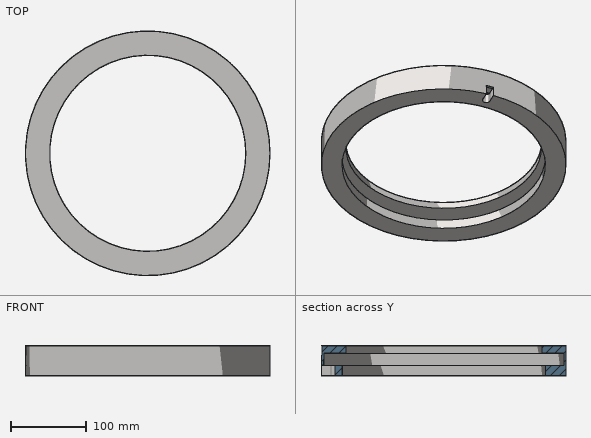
import cadquery as cq

outer_diameter = 325.0
height = 40.0

upper_bore_diameter = 260.0
lower_bore_diameter = 270.0
groove_diameter = 318.31
upper_lip_thickness = 10.0
lower_flange_thickness = 14.0

notch_width = 10.0
notch_height = lower_flange_thickness
notch_depth = 18.0


def make_ring():
    """Revolve the C-shaped cross-section about the Z axis."""
    outer_radius = outer_diameter / 2
    upper_radius = upper_bore_diameter / 2
    lower_radius = lower_bore_diameter / 2
    groove_radius = groove_diameter / 2
    groove_top = height - upper_lip_thickness
    section = [
        (lower_radius, 0),
        (outer_radius, 0),
        (outer_radius, height),
        (upper_radius, height),
        (upper_radius, groove_top),
        (groove_radius, groove_top),
        (groove_radius, lower_flange_thickness),
        (lower_radius, lower_flange_thickness),
    ]
    return cq.Workplane("XZ").polyline(section).close().revolve(360, (0, 0), (0, 1))


def make_notch():
    """Vertical slot, open at the rim and closed by a half-round inner end."""
    rim_x = -outer_diameter / 2
    end_center_x = rim_x + notch_depth - notch_width / 2
    round_end = cq.Workplane("XY").center(end_center_x, 0).circle(notch_width / 2).extrude(notch_height)
    mouth = (
        cq.Workplane("XY")
        .center(end_center_x, 0)
        .rect(2 * notch_depth, notch_width)
        .extrude(notch_height)
        .translate((-notch_depth, 0, 0))
    )
    return round_end.union(mouth)


result = make_ring().cut(make_notch())